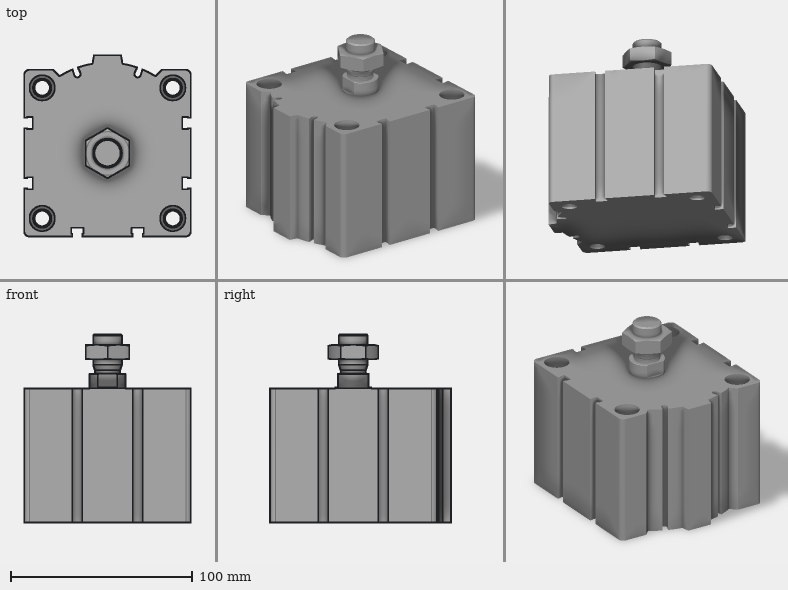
import cadquery as cq
import math

HOUSING_HEIGHT = 74.0
HALF_WIDTH = 46.0
CORNER_RADIUS = 3.0

DOME_RADIUS = 50.0
RELIEF_START_X = 30.0
RELIEF_END_X = 26.4
RELIEF_END_Y = math.sqrt(DOME_RADIUS**2 - RELIEF_END_X**2)

RAIL_TOP_Y = 54.0
RAIL_TOP_HALF_WIDTH = 7.5
RAIL_BASE_HALF_WIDTH = 8.3
RAIL_BASE_Y = math.sqrt(DOME_RADIUS**2 - RAIL_BASE_HALF_WIDTH**2)

GROOVE_RADIUS = 1.75
GROOVE_MOUTH_WIDTH = 3.0
GROOVE_CENTRE_X = 16.6
GROOVE_CENTRE_Y = 43.55

SLOT_OFFSET = 16.6
SLOT_MOUTH_WIDTH = 5.6
SLOT_INNER_WIDTH = 6.5
SLOT_LIP = 1.7
SLOT_DEPTH = 4.8

HOLE_OFFSET = 36.0
HOLE_DIAMETER = 8.5
HOLE_COUNTERSINK_DIAMETER = 10.2
COUNTERBORE_DIAMETER = 14.0
COUNTERBORE_DEPTH = 9.0

ROD_LENGTH = 30.0
COLLAR_DIAMETER = 20.0
COLLAR_HEIGHT = 8.0
COLLAR_CHAMFER = 0.2
FLATS_WIDTH = 17.0
FLATS_START = 0.8
NECK_DIAMETER = 13.9
NECK_BOTTOM = 8.9
NECK_TOP = 10.15
THREAD_DIAMETER = 16.0
THREAD_ROOT_DIAMETER = 14.38
RUNOUT_START = 10.5
THREAD_START = 13.0
THREAD_CHAMFER = (THREAD_DIAMETER - THREAD_ROOT_DIAMETER) / 2

NUT_ACROSS_FLATS = 24.0
NUT_HEIGHT = 8.0
NUT_BASE = 16.0
NUT_CHAMFER_ANGLE = 15.0


def make_t_slot():
    """T-slot cutter for the -Y face, centred on X = 0."""
    face_y = -HALF_WIDTH
    mouth = (
        cq.Workplane("XY")
        .center(0, face_y)
        .rect(SLOT_MOUTH_WIDTH, 2 * SLOT_DEPTH)
        .extrude(HOUSING_HEIGHT)
    )
    inner_length = SLOT_DEPTH - SLOT_LIP
    inner = (
        cq.Workplane("XY")
        .center(0, face_y + SLOT_LIP + inner_length / 2)
        .rect(SLOT_INNER_WIDTH, inner_length)
        .extrude(HOUSING_HEIGHT)
    )
    return mouth.union(inner)


def make_dome_groove(side):
    """Keyhole groove cutter in the dome, on the +X (side = 1) or -X (side = -1) half."""
    centre_radius = math.hypot(GROOVE_CENTRE_X, GROOVE_CENTRE_Y)
    angle_from_y = math.degrees(math.atan2(GROOVE_CENTRE_X, GROOVE_CENTRE_Y))
    mouth_half_width = GROOVE_MOUTH_WIDTH / 2
    groove = (
        cq.Workplane("XY")
        .moveTo(-GROOVE_RADIUS, centre_radius)
        .threePointArc((0, centre_radius - GROOVE_RADIUS), (GROOVE_RADIUS, centre_radius))
        .lineTo(mouth_half_width, DOME_RADIUS)
        .lineTo(-mouth_half_width, DOME_RADIUS)
        .close()
        .extrude(HOUSING_HEIGHT)
    )
    return groove.rotate((0, 0, 0), (0, 0, 1), -side * angle_from_y)


def make_mounting_hole():
    """Stepped hole cutter on the Z axis: counterbore, countersink and through hole."""
    hole_radius = HOLE_DIAMETER / 2
    sink_radius = HOLE_COUNTERSINK_DIAMETER / 2
    bore_radius = COUNTERBORE_DIAMETER / 2
    bore_floor = HOUSING_HEIGHT - COUNTERBORE_DEPTH
    return (
        cq.Workplane("XZ")
        .moveTo(0, 0)
        .lineTo(hole_radius, 0)
        .lineTo(hole_radius, bore_floor - (sink_radius - hole_radius))
        .lineTo(sink_radius, bore_floor)
        .lineTo(bore_radius, bore_floor)
        .lineTo(bore_radius, HOUSING_HEIGHT)
        .lineTo(0, HOUSING_HEIGHT)
        .close()
        .revolve(360, (0, 0), (0, 1))
    )


def make_housing():
    block = (
        cq.Workplane("XY")
        .rect(2 * HALF_WIDTH, 2 * HALF_WIDTH)
        .extrude(HOUSING_HEIGHT)
        .edges("|Z")
        .fillet(CORNER_RADIUS)
    )
    relief = (
        cq.Workplane("XY")
        .moveTo(-RELIEF_START_X, HALF_WIDTH)
        .lineTo(-RELIEF_END_X, RELIEF_END_Y)
        .threePointArc((0, DOME_RADIUS), (RELIEF_END_X, RELIEF_END_Y))
        .lineTo(RELIEF_START_X, HALF_WIDTH)
        .lineTo(RELIEF_START_X, RAIL_TOP_Y)
        .lineTo(-RELIEF_START_X, RAIL_TOP_Y)
        .close()
        .extrude(HOUSING_HEIGHT)
    )
    dome = (
        cq.Workplane("XY")
        .moveTo(-RELIEF_END_X, RELIEF_END_Y)
        .threePointArc((0, DOME_RADIUS), (RELIEF_END_X, RELIEF_END_Y))
        .close()
        .extrude(HOUSING_HEIGHT)
    )
    rail = (
        cq.Workplane("XY")
        .moveTo(-RAIL_BASE_HALF_WIDTH, RAIL_BASE_Y)
        .lineTo(-RAIL_TOP_HALF_WIDTH, RAIL_TOP_Y)
        .lineTo(RAIL_TOP_HALF_WIDTH, RAIL_TOP_Y)
        .lineTo(RAIL_BASE_HALF_WIDTH, RAIL_BASE_Y)
        .close()
        .extrude(HOUSING_HEIGHT)
    )
    housing = block.cut(relief).union(dome).union(rail)

    for side in (-1, 1):
        housing = housing.cut(make_dome_groove(side))

    for face_angle in (0, 90, -90):
        for side in (-1, 1):
            slot = make_t_slot().translate((side * SLOT_OFFSET, 0, 0))
            housing = housing.cut(slot.rotate((0, 0, 0), (0, 0, 1), face_angle))

    for x_side in (-1, 1):
        for y_side in (-1, 1):
            hole = make_mounting_hole().translate((x_side * HOLE_OFFSET, y_side * HOLE_OFFSET, 0))
            housing = housing.cut(hole)
    return housing


def make_rod():
    """Rod with a flatted collar, undercut neck and plain thread cylinder."""
    collar_radius = COLLAR_DIAMETER / 2
    neck_radius = NECK_DIAMETER / 2
    root_radius = THREAD_ROOT_DIAMETER / 2
    thread_radius = THREAD_DIAMETER / 2
    rod = (
        cq.Workplane("XZ")
        .moveTo(0, 0)
        .lineTo(collar_radius, 0)
        .lineTo(collar_radius, COLLAR_HEIGHT - COLLAR_CHAMFER)
        .lineTo(collar_radius - COLLAR_CHAMFER, COLLAR_HEIGHT)
        .lineTo(root_radius, COLLAR_HEIGHT)
        .lineTo(neck_radius, NECK_BOTTOM)
        .lineTo(neck_radius, NECK_TOP)
        .lineTo(root_radius, RUNOUT_START)
        .lineTo(thread_radius, THREAD_START)
        .lineTo(thread_radius, ROD_LENGTH - THREAD_CHAMFER)
        .lineTo(root_radius, ROD_LENGTH)
        .lineTo(0, ROD_LENGTH)
        .close()
        .revolve(360, (0, 0), (0, 1))
    )
    for side in (-1, 1):
        flat_cutter = (
            cq.Workplane("XY", origin=(0, 0, FLATS_START))
            .center(0, side * (FLATS_WIDTH + COLLAR_DIAMETER) / 2)
            .rect(COLLAR_DIAMETER, COLLAR_DIAMETER)
            .extrude(COLLAR_HEIGHT - FLATS_START)
        )
        rod = rod.cut(flat_cutter)
    return rod.translate((0, 0, HOUSING_HEIGHT))


def make_nut():
    """Hexagon nut with corners on the Y axis, chamfered at both ends."""
    corner_radius = NUT_ACROSS_FLATS / math.sqrt(3)
    face_radius = NUT_ACROSS_FLATS / 2
    chamfer_height = (corner_radius - face_radius) * math.tan(math.radians(NUT_CHAMFER_ANGLE))
    hexagon = (
        cq.Workplane("XY")
        .polygon(6, 2 * corner_radius)
        .extrude(NUT_HEIGHT)
        .rotate((0, 0, 0), (0, 0, 1), 90)
    )
    chamfer_envelope = (
        cq.Workplane("XZ")
        .moveTo(0, 0)
        .lineTo(face_radius, 0)
        .lineTo(corner_radius, chamfer_height)
        .lineTo(corner_radius, NUT_HEIGHT - chamfer_height)
        .lineTo(face_radius, NUT_HEIGHT)
        .lineTo(0, NUT_HEIGHT)
        .close()
        .revolve(360, (0, 0), (0, 1))
    )
    bore = cq.Workplane("XY").circle(THREAD_DIAMETER / 2).extrude(NUT_HEIGHT)
    nut = hexagon.intersect(chamfer_envelope).cut(bore)
    return nut.translate((0, 0, HOUSING_HEIGHT + NUT_BASE))


housing = make_housing()
rod = make_rod()
nut = make_nut()

result = cq.Compound.makeCompound([housing.val(), rod.val(), nut.val()])